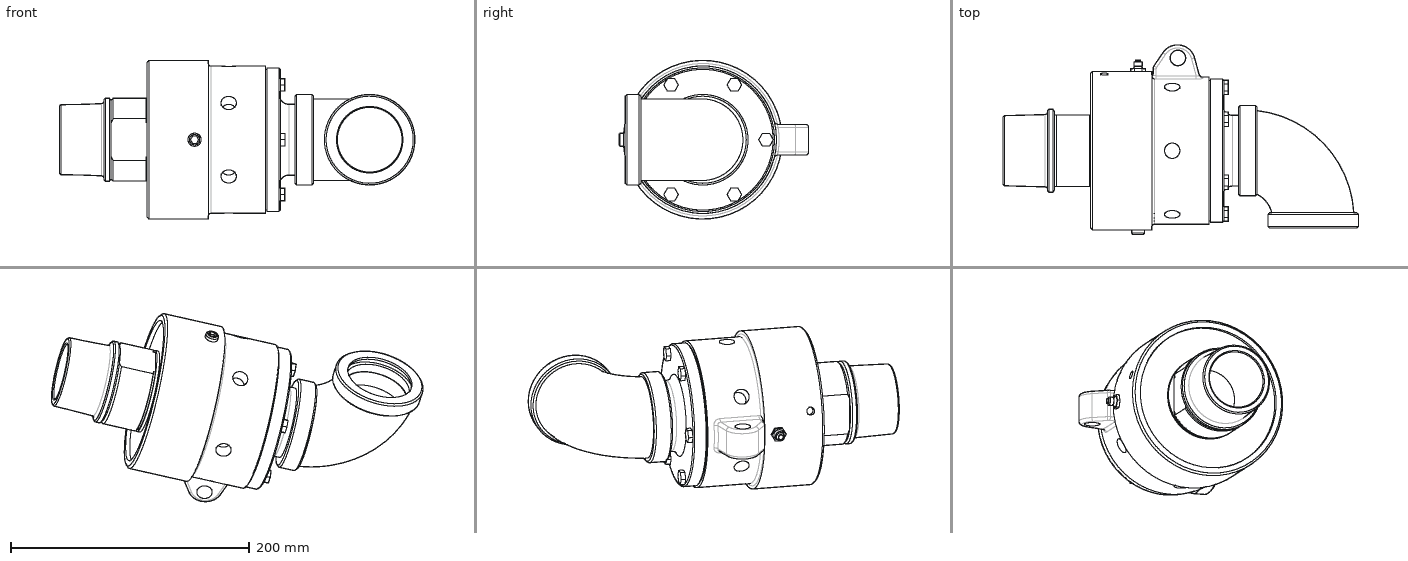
import cadquery as cq
import math


nipple_tip_radius = 29.5
nipple_root_radius = 30.5
nipple_taper_end = 35.2
tip_chamfer = 1.2
shaft_radius = 70.0 / 2
collar_start = 37.3
collar_shoulder_radius = 33.7
collar_chamfer = shaft_radius - collar_shoulder_radius
collar_end = 41.8
groove_bottom = 43.3
groove_end = 45.0
groove_depth = 1.8
relief_start = 72.8
relief_depth = 1.5
flats_end = 74.5
flats_width = 60.3
bore_diameter = 47.5
bore_depth = 74.5
bore_chamfer = 1.0

ring_start = 73.5
ring_end = 125.0
ring_radius = 133.5 / 2
ring_chamfer = 1.8
recess_radius = 120.5 / 2
recess_depth = 3.5

drum_end = 173.0
drum_radius = 124.0 / 2
drum_fillet = 2.0
seam_width = 1.0
seam_radius = 59.0
radial_hole_count = 6
radial_hole_x = 142.0
radial_hole_diameter = 12.8
radial_hole_depth = 13.7
dimple_x = 85.0
dimple_diameter = 6.5
dimple_depth = 6.0
dimple_angle = 15

flange_end = 185.5
flange_radius = 120.5 / 2
flange_chamfer = 1.2
bolt_count = 6
bolt_circle_radius = 53.0
bolt_corner_diameter = 12.2
bolt_head_height = 4.0
neck_radius = 30.0
neck_flare = 4.8
neck_flare_length = 7.2

elbow_collar_start = 197.5
elbow_collar_end = 213.5
elbow_collar_radius = 76.0 / 2
elbow_collar_chamfer = 1.5
elbow_tube_radius = 34.3
outlet_x = 298.5 - elbow_collar_radius
outlet_collar_y = -52.0
outlet_face_y = -65.0
bend_radius = 57.3
socket_mouth_diameter = 55.8
socket_mouth_depth = 2.0
socket_groove_diameter = 61.5
socket_groove_end = 7.2
socket_diameter = 55.2
socket_depth = 15.0
socket_bore_diameter = 54.3
socket_bore_depth = 28.7
socket_cone_height = 16.5

lug_thickness = 26.0
lug_crown_x = 146.5
lug_crown_y = 74.0
lug_crown_radius = 15.0
lug_eye_x = 147.0
lug_eye_y = 78.0
lug_eye_diameter = 12.8
lug_root_y = 53.7
lug_left_x = 126.0
lug_left_normal = 146
lug_left_corner_radius = 4.5
lug_right_normal = 15
lug_edge_fillet = 2.7
lug_root_fillet = 3.0
box_margin = 0.3

fitting_x = 113.5
plug_diameter = 11.0
plug_face = 70.5
plug_chamfer = 1.2
plug_socket_diameter = 7.0
plug_socket_depth = 2.5
fitting_hex_diameter = 12.5
fitting_hex_top = 69.0
fitting_shoulder_radius = 4.5
fitting_throat_radius = 2.7
fitting_throat_y = 70.7
fitting_head_radius = 3.5
fitting_head_start = 71.3
fitting_head_end = 74.3
fitting_tip_radius = 2.0
fitting_tip_start = 75.0
fitting_tip_end = 76.0
fitting_embed = 3.0


def revolve_about_x(profile):
    return profile.close().revolve(360, (0, 0, 0), (1, 0, 0))


def disc_along_x(start, end, radius):
    return cq.Workplane("YZ").workplane(offset=start).circle(radius).extrude(end - start)


def radial_pocket(x, angle, surface_radius, diameter, depth):
    """Flat-bottomed pocket pointing at the X axis, at an angle from +Y towards +Z."""
    pocket = (
        cq.Workplane("XZ", origin=(x, surface_radius - depth, 0))
        .circle(diameter / 2)
        .extrude(-2 * depth)
    )
    return pocket.rotate((0, 0, 0), (1, 0, 0), angle)


def make_nipple():
    body = revolve_about_x(
        cq.Workplane("XY")
        .moveTo(0, 0)
        .lineTo(0, nipple_tip_radius - tip_chamfer)
        .lineTo(tip_chamfer, nipple_tip_radius)
        .lineTo(nipple_taper_end, nipple_root_radius)
        .tangentArcPoint((collar_start, collar_shoulder_radius), relative=False)
        .lineTo(collar_start + collar_chamfer, shaft_radius)
        .lineTo(collar_end, shaft_radius)
        .lineTo(groove_bottom, shaft_radius - groove_depth)
        .lineTo(groove_end, shaft_radius)
        .lineTo(relief_start, shaft_radius)
        .lineTo(relief_start, shaft_radius - relief_depth)
        .lineTo(flats_end, shaft_radius - relief_depth)
        .lineTo(flats_end, shaft_radius)
        .lineTo(ring_end, shaft_radius)
        .lineTo(ring_end, 0)
    )
    flats_length = flats_end - groove_bottom
    keep = cq.Workplane("XY").box(flats_length, flats_width, 2 * shaft_radius)
    stock = cq.Workplane("XY").box(flats_length, 4 * shaft_radius, 4 * shaft_radius)
    flats_cut = stock.cut(keep).translate((groove_bottom + flats_length / 2, 0, 0))
    return body.cut(flats_cut)


def make_housing():
    flange_start = drum_end + seam_width
    ring = disc_along_x(ring_start, ring_end, ring_radius).faces("<X").chamfer(ring_chamfer)
    recess = disc_along_x(ring_start, ring_start + recess_depth, recess_radius)
    drum = revolve_about_x(
        cq.Workplane("XY")
        .moveTo(ring_end, 0)
        .lineTo(ring_end, drum_radius + drum_fillet)
        .radiusArc((ring_end + drum_fillet, drum_radius), -drum_fillet)
        .lineTo(drum_end, drum_radius)
        .lineTo(drum_end, seam_radius)
        .lineTo(flange_start, seam_radius)
        .lineTo(flange_start, flange_radius)
        .lineTo(flange_end - flange_chamfer, flange_radius)
        .lineTo(flange_end, flange_radius - flange_chamfer)
        .lineTo(flange_end, 0)
    )
    return ring.cut(recess).union(drum)


def make_neck():
    return revolve_about_x(
        cq.Workplane("XY")
        .moveTo(elbow_collar_end, 0)
        .lineTo(elbow_collar_end, neck_radius)
        .lineTo(flange_end + neck_flare_length, neck_radius)
        .tangentArcPoint((flange_end, neck_radius + neck_flare), relative=False)
        .lineTo(flange_end, 0)
    )


def make_bolts():
    return (
        cq.Workplane("YZ")
        .workplane(offset=flange_end)
        .polarArray(bolt_circle_radius, 0, 360, bolt_count, rotate=False)
        .polygon(6, bolt_corner_diameter)
        .extrude(bolt_head_height)
    )


def make_elbow():
    inlet_collar = disc_along_x(elbow_collar_start, elbow_collar_end, elbow_collar_radius)
    outlet_collar = (
        cq.Workplane("XZ", origin=(outlet_x, outlet_collar_y, 0))
        .circle(elbow_collar_radius)
        .extrude(outlet_collar_y - outlet_face_y)
    )
    bend = (
        cq.Workplane("YZ", origin=(outlet_x - bend_radius, 0, 0))
        .circle(elbow_tube_radius)
        .revolve(90, (-bend_radius, 3, 0), (-bend_radius, 0, 0))
    )
    for collar in (inlet_collar, outlet_collar):
        bend = bend.union(collar.edges().chamfer(elbow_collar_chamfer))
    return bend


def make_socket():
    """Stepped outlet bore with a groove behind its mouth and a conical end."""
    return (
        cq.Workplane("XY", origin=(outlet_x, outlet_face_y, 0))
        .lineTo(socket_mouth_diameter / 2, 0)
        .lineTo(socket_mouth_diameter / 2, socket_mouth_depth)
        .lineTo(socket_groove_diameter / 2, socket_mouth_depth)
        .lineTo(socket_groove_diameter / 2, socket_groove_end)
        .lineTo(socket_diameter / 2, socket_groove_end)
        .lineTo(socket_diameter / 2, socket_depth)
        .lineTo(socket_bore_diameter / 2, socket_depth)
        .lineTo(socket_bore_diameter / 2, socket_bore_depth)
        .lineTo(0, socket_bore_depth + socket_cone_height)
        .close()
        .revolve(360, (0, 0, 0), (0, 1, 0))
    )


def crown_point(angle):
    return (
        lug_crown_x + lug_crown_radius * math.cos(math.radians(angle)),
        lug_crown_y + lug_crown_radius * math.sin(math.radians(angle)),
    )


def make_lug():
    left_tangent = crown_point(lug_left_normal)
    right_tangent = crown_point(lug_right_normal)
    left_drop = (left_tangent[0] - lug_left_x) / math.tan(math.radians(180 - lug_left_normal))
    left_corner = (lug_left_x, left_tangent[1] - left_drop)
    right_run = (right_tangent[1] - lug_root_y) * math.tan(math.radians(lug_right_normal))
    plate = (
        cq.Workplane("XY")
        .workplane(offset=-lug_thickness / 2)
        .moveTo(lug_left_x, lug_root_y)
        .lineTo(*left_corner)
        .lineTo(*left_tangent)
        .threePointArc(crown_point(90), right_tangent)
        .lineTo(right_tangent[0] + right_run, lug_root_y)
        .close()
        .extrude(lug_thickness)
    )
    corner_edge = cq.selectors.NearestToPointSelector((*left_corner, 0))
    plate = plate.edges("|Z").edges(corner_edge).fillet(lug_left_corner_radius)
    rim_box = cq.selectors.BoxSelector(
        (lug_left_x - box_margin, lug_root_y + box_margin, -lug_thickness),
        (drum_end, lug_crown_y + 2 * lug_crown_radius, lug_thickness),
    )
    plate = plate.faces("|Z").edges(rim_box).fillet(lug_edge_fillet)
    seat_start = lug_left_x - 2 * lug_root_fillet
    seat = disc_along_x(seat_start, drum_end, drum_radius).rotate((0, 0, 0), (1, 0, 0), 180)
    root_box = cq.selectors.BoxSelector(
        (seat_start, lug_root_y, -lug_thickness),
        (drum_end - box_margin, drum_radius + box_margin, lug_thickness),
    )
    plate = plate.union(seat).edges(root_box).fillet(lug_root_fillet)
    eye = (
        cq.Workplane("XY", origin=(lug_eye_x, lug_eye_y, -lug_thickness))
        .circle(lug_eye_diameter / 2)
        .extrude(2 * lug_thickness)
    )
    return plate.cut(eye)


def make_plug():
    seat = ring_radius - fitting_embed
    plug = (
        cq.Workplane("XZ", origin=(fitting_x, -seat, 0))
        .circle(plug_diameter / 2)
        .extrude(plug_face - seat)
        .faces("<Y")
        .chamfer(plug_chamfer)
    )
    socket = (
        cq.Workplane("XZ", origin=(fitting_x, -plug_face, 0))
        .polygon(6, plug_socket_diameter)
        .extrude(-plug_socket_depth)
    )
    return plug.cut(socket)


def make_grease_nipple():
    seat = ring_radius - fitting_embed
    hexagon = (
        cq.Workplane("XZ", origin=(fitting_x, seat, 0))
        .polygon(6, fitting_hex_diameter)
        .extrude(seat - fitting_hex_top)
    )
    stem = (
        cq.Workplane("XY", origin=(fitting_x, 0, 0))
        .moveTo(0, seat)
        .lineTo(fitting_shoulder_radius, seat)
        .lineTo(fitting_shoulder_radius, fitting_hex_top)
        .lineTo(fitting_throat_radius, fitting_throat_y)
        .lineTo(fitting_head_radius, fitting_head_start)
        .lineTo(fitting_head_radius, fitting_head_end)
        .lineTo(fitting_tip_radius, fitting_tip_start)
        .lineTo(fitting_tip_radius, fitting_tip_end)
        .lineTo(0, fitting_tip_end)
        .close()
        .revolve(360, (0, 0, 0), (0, 1, 0))
    )
    return hexagon.union(stem)


result = make_housing().union(make_lug())
result = result.union(make_nipple()).union(make_neck()).union(make_elbow())
result = result.union(make_bolts()).union(make_plug()).union(make_grease_nipple())

bore = disc_along_x(0, bore_depth, bore_diameter / 2)
bore_mouth = (
    cq.Workplane("YZ").circle(bore_diameter / 2 + bore_chamfer).extrude(bore_chamfer, taper=45)
)
result = result.cut(bore).cut(bore_mouth).cut(make_socket())

hole_step = 360 / radial_hole_count
for index in range(radial_hole_count):
    hole_angle = hole_step * (index + 0.5)
    result = result.cut(
        radial_pocket(radial_hole_x, hole_angle, drum_radius, radial_hole_diameter, radial_hole_depth)
    )
result = result.cut(
    radial_pocket(dimple_x, dimple_angle, ring_radius, dimple_diameter, dimple_depth)
)